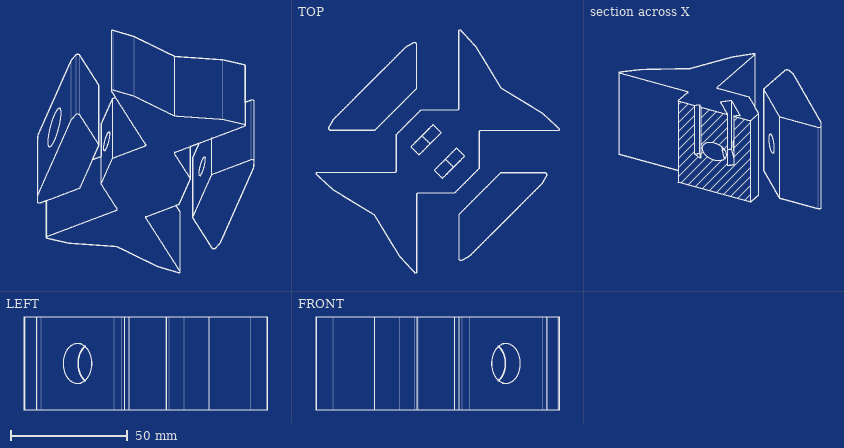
import cadquery as cq
import math

height = 40.0

wing_flat = 9.0
hub_half = 17.8
hub_corner = 7.2
wing_tip = 52.9
wing_kink_far = 44.8
wing_kink_near = 16.5
wing_notch = 27.2
tip_radius = 0.5
root_radius = 0.5

jaw_flat = 9.1
jaw_inner = 27.0
jaw_bend_far = 44.8
jaw_bend_near = 13.6
jaw_tip_angle = 30
jaw_tip = jaw_bend_far + (jaw_bend_near - jaw_flat) * math.tan(math.radians(jaw_tip_angle))
jaw_tip_radius = 0.9

bolt_direction = -45
bolt_diameter = 8.2
counterbore_diameter = 17.2
counterbore_depth = 8.7
countersink_diameter = 16.6
countersink_depth = (countersink_diameter - bolt_diameter) / 2
jaw_face = (jaw_bend_far + jaw_bend_near) / math.sqrt(2)

nut_flats = 13.4
nut_thickness = 4.9
nut_offset = 7.1


def along_bolt_line(body):
    """Move a body built about the X axis onto the bolt line."""
    return body.rotate((0, 0, 0), (0, 0, 1), bolt_direction).translate((0, 0, height / 2))


def make_bolt_hole():
    hole = cq.Workplane("YZ").circle(bolt_diameter / 2).extrude(jaw_face, both=True)
    return along_bolt_line(hole)


def make_nut_slot(offset):
    """A vertical slot with half a hexagon as its bottom."""
    half_width = nut_flats / 2
    vertex_drop = nut_flats / math.sqrt(3)
    slot = (
        cq.Workplane("YZ", origin=(offset - nut_thickness / 2, 0, 0))
        .moveTo(-half_width, height / 2)
        .lineTo(-half_width, -vertex_drop / 2)
        .lineTo(0, -vertex_drop)
        .lineTo(half_width, -vertex_drop / 2)
        .lineTo(half_width, height / 2)
        .close()
        .extrude(nut_thickness)
    )
    return along_bolt_line(slot)


def make_core():
    half_outline = [
        (hub_half, -hub_corner),
        (hub_half, wing_flat),
        (wing_tip, wing_flat),
        (wing_kink_far, wing_kink_near),
        (wing_notch, wing_notch),
        (wing_kink_near, wing_kink_far),
        (wing_flat, wing_tip),
        (wing_flat, hub_half),
        (-hub_corner, hub_half),
    ]
    other_half = [(-x, -y) for x, y in half_outline]
    core = cq.Workplane("XY").polyline(half_outline + other_half).close().extrude(height)

    for side in (1, -1):
        for x, y in ((wing_tip, wing_flat), (wing_flat, wing_tip)):
            tip = cq.selectors.NearestToPointSelector((side * x, side * y, height / 2))
            core = core.edges(tip).fillet(tip_radius)
        for x, y in ((hub_half, wing_flat), (wing_flat, hub_half)):
            root = cq.selectors.NearestToPointSelector((side * x, side * y, height / 2))
            core = core.edges(root).fillet(root_radius)

    core = core.cut(make_bolt_hole())
    for offset in (nut_offset, -nut_offset):
        core = core.cut(make_nut_slot(offset))
    return core


def make_screw_recess():
    """Counterbore with a narrow ledge and a conical bottom that narrows to the bolt hole."""
    cone_start = jaw_face - counterbore_depth
    cone_end = cone_start - countersink_depth
    recess = (
        cq.Workplane("XZ")
        .moveTo(cone_end, 0)
        .lineTo(cone_end, bolt_diameter / 2)
        .lineTo(cone_start, countersink_diameter / 2)
        .lineTo(cone_start, counterbore_diameter / 2)
        .lineTo(jaw_face, counterbore_diameter / 2)
        .lineTo(jaw_face, 0)
        .close()
        .revolve(360, (0, 0, 0), (1, 0, 0))
    )
    return along_bolt_line(recess)


def make_jaw(turn):
    """The +X -Y jaw, turned about Z."""
    outline = [
        (jaw_inner, -jaw_flat),
        (jaw_tip, -jaw_flat),
        (jaw_bend_far, -jaw_bend_near),
        (jaw_bend_near, -jaw_bend_far),
        (jaw_flat, -jaw_tip),
        (jaw_flat, -jaw_inner),
    ]
    jaw = cq.Workplane("XY").polyline(outline).close().extrude(height)
    for x, y in ((jaw_tip, -jaw_flat), (jaw_flat, -jaw_tip)):
        tip = cq.selectors.NearestToPointSelector((x, y, height / 2))
        jaw = jaw.edges(tip).fillet(jaw_tip_radius)
    jaw = jaw.cut(make_bolt_hole()).cut(make_screw_recess())
    return jaw.rotate((0, 0, 0), (0, 0, 1), turn)


core = make_core()
jaws = [make_jaw(turn) for turn in (0, 180)]

result = cq.Compound.makeCompound([core.val(), *[jaw.val() for jaw in jaws]])